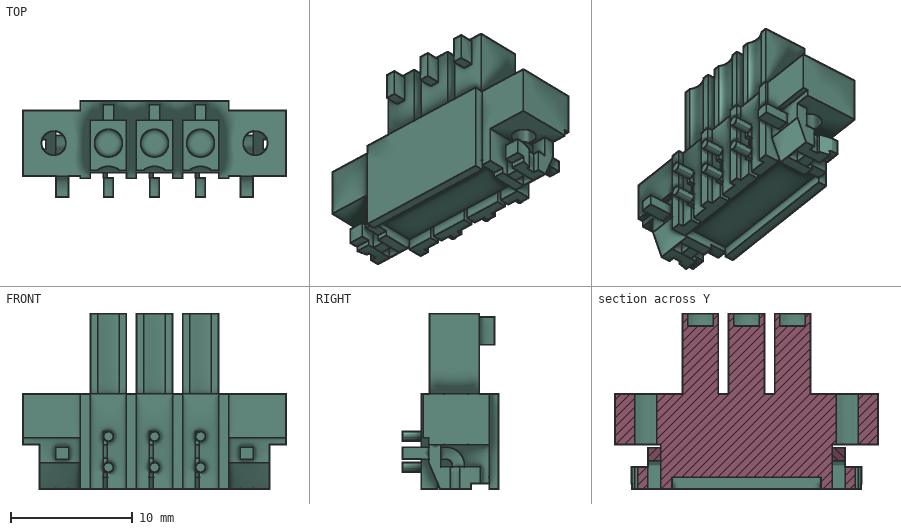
import cadquery as cq
import math


WAYS = 3
PITCH = 3.8
WAY_CENTRES = [(way - (WAYS - 1) / 2) * PITCH for way in range(WAYS)]
SIDES = (-1, 1)

CORE_HALF_WIDTH = 6.15
CORE_BACK = 3.5
CORE_FRONT = -2.91
CORE_TOP = 7.87

RECESS_FLOOR = -2.45
RECESS_WIDTH = 2.98

TUNNEL_FRONT = -1.55
TUNNEL_HEIGHT = 0.98

TOWER_WIDTH = 2.98
TOWER_BACK = 1.91
TOWER_FRONT = -2.22
TOWER_TOP = 14.5
SOCKET_DIAMETER = 2.3
SOCKET_DEPTH = 1.0
GROOVE_CHORD = 1.78
GROOVE_DEPTH = 0.3
GROOVE_RADIUS = ((GROOVE_CHORD / 2) ** 2 + GROOVE_DEPTH**2) / (2 * GROOVE_DEPTH)
KEY_WIDTH = 0.85
KEY_BACK = 3.17
KEY_BOTTOM = 11.93
KEY_TOP = 14.23

WING_END = 10.86
WING_BACK = 2.72
WING_FRONT = -2.72
WING_BOTTOM = 3.67
LIP_HEIGHT = 0.59
MOUNT_HOLE_X = 8.32
MOUNT_HOLE_DIAMETER = 2.0

FOOT_END = 9.52
FOOT_FRONT = -2.25
FOOT_SLOPE_TOP = 2.17
FOOT_SLOPE_END = -1.35
FOOT_WALL_BACK = -1.28
FOOT_STEP_Y = 1.22
FOOT_STEP_HEIGHT = 0.45
OUTER_LEG_TOP = 1.85
OUTER_LEG_BACK = 2.0
NOTCH_FRONT = -0.5
NOTCH_BACK = 0.28
NOTCH_FLOOR_X = 9.0
RAMP_INNER_X = 9.24
RAMP_BACK = 1.41

STRIP_INNER_X = 7.08
STRIP_WIDTH = 1.06
STRIP_OUTER_X = STRIP_INNER_X + STRIP_WIDTH
STRIP_THICKNESS = 1.0
STRIP_TOP = 3.48
BEND_OUTER_RADIUS = 1.52
BEND_INNER_RADIUS = BEND_OUTER_RADIUS - STRIP_THICKNESS
BEND_Y = -0.85
BEND_Z = STRIP_TOP - BEND_OUTER_RADIUS

PIN_TIP = -4.45
PIN_DIAMETER = 0.8
PIN_LOW_Z = 1.8
PIN_SPACING = 2.56
PIN_START = -2.87
PLATE_THICKNESS = 0.35
PLATE_LEFT = -0.43
PLATE_SETBACK = 0.13
PRONG_HEIGHT = 1.13
PLATE_BOTTOM = 1.41
PLATE_TOP = PLATE_BOTTOM + 3 * PRONG_HEIGHT


def block(x0, x1, y0, y1, z0, z1):
    """Box between two opposite corners, the X limits given in either order."""
    corner = (min(x0, x1), y0, z0)
    return cq.Workplane("XY", origin=corner).box(abs(x1 - x0), y1 - y0, z1 - z0, centered=False)


def cylinder(x, y, z0, z1, radius):
    """Vertical cylinder between two heights."""
    return cq.Workplane("XY", origin=(x, y, z0)).circle(radius).extrude(z1 - z0)


def make_core():
    """Centre block with a front recess per way and a tunnel through its underside."""
    core = block(-CORE_HALF_WIDTH, CORE_HALF_WIDTH, CORE_FRONT, CORE_BACK, 0, CORE_TOP)
    for x in WAY_CENTRES:
        half = RECESS_WIDTH / 2
        core = core.cut(block(x - half, x + half, CORE_FRONT, RECESS_FLOOR, 0, CORE_TOP))
    return core.cut(block(-CORE_HALF_WIDTH, CORE_HALF_WIDTH, TUNNEL_FRONT, WING_BACK, 0, TUNNEL_HEIGHT))


def make_tower(x):
    """Tower with a round socket on top, a shallow groove in front and a key behind."""
    half = TOWER_WIDTH / 2
    tower = block(x - half, x + half, TOWER_FRONT, TOWER_BACK, CORE_TOP, TOWER_TOP)
    groove_y = TOWER_FRONT + GROOVE_DEPTH - GROOVE_RADIUS
    tower = tower.cut(cylinder(x, groove_y, CORE_TOP, TOWER_TOP, GROOVE_RADIUS))
    tower = tower.cut(cylinder(x, 0, TOWER_TOP - SOCKET_DEPTH, TOWER_TOP, SOCKET_DIAMETER / 2))
    key = block(x - KEY_WIDTH / 2, x + KEY_WIDTH / 2, TOWER_BACK, KEY_BACK, KEY_BOTTOM, KEY_TOP)
    return tower.union(key)


def make_wing(side):
    """Wing with a vertical mounting hole and a setback along its lower front edge."""
    inner = side * CORE_HALF_WIDTH
    outer = side * WING_END
    wing = block(inner, outer, WING_FRONT, WING_BACK, WING_BOTTOM, CORE_TOP)
    wing = wing.cut(block(inner, outer, WING_FRONT, FOOT_FRONT, WING_BOTTOM, WING_BOTTOM + LIP_HEIGHT))
    return wing.cut(cylinder(side * MOUNT_HOLE_X, 0, WING_BOTTOM, CORE_TOP, MOUNT_HOLE_DIAMETER / 2))


def make_foot(side):
    """Foot below a wing, opened up around the hold-down strip."""
    profile = [
        (FOOT_SLOPE_END, 0),
        (FOOT_STEP_Y, 0),
        (FOOT_STEP_Y, FOOT_STEP_HEIGHT),
        (WING_BACK, FOOT_STEP_HEIGHT),
        (WING_BACK, WING_BOTTOM),
        (FOOT_FRONT, WING_BOTTOM),
        (FOOT_FRONT, FOOT_SLOPE_TOP),
    ]
    inner = side * CORE_HALF_WIDTH
    outer = side * FOOT_END
    strip_inner = side * STRIP_INNER_X
    strip_outer = side * STRIP_OUTER_X
    foot = cq.Workplane("YZ", origin=(inner, 0, 0)).polyline(profile).close().extrude(outer - inner)

    pocket = block(strip_inner, strip_outer, FOOT_WALL_BACK, WING_BACK, 0, WING_BOTTOM)
    above_outer_leg = block(strip_outer, outer, FOOT_WALL_BACK, WING_BACK, OUTER_LEG_TOP, WING_BOTTOM)
    behind_outer_leg = block(strip_outer, outer, OUTER_LEG_BACK, WING_BACK, 0, WING_BOTTOM)
    foot = foot.cut(pocket).cut(above_outer_leg).cut(behind_outer_leg)

    relief = [
        (outer, NOTCH_FRONT),
        (side * NOTCH_FLOOR_X, NOTCH_FRONT),
        (side * NOTCH_FLOOR_X, NOTCH_BACK),
        (side * RAMP_INNER_X, NOTCH_BACK),
        (outer, RAMP_BACK),
    ]
    return foot.cut(cq.Workplane("XY").polyline(relief).close().extrude(OUTER_LEG_TOP))


def make_contact_slot(x):
    """Slot behind a front recess that holds one contact and is open at the bottom."""
    left = x + PLATE_LEFT
    return block(left, left + PLATE_THICKNESS, RECESS_FLOOR, TUNNEL_FRONT, 0, PLATE_TOP)


def make_contact(x):
    """Plate with two prongs and their round pins."""
    left = x + PLATE_LEFT
    right = left + PLATE_THICKNESS
    contact = block(left, right, RECESS_FLOOR + PLATE_SETBACK, TUNNEL_FRONT, PLATE_BOTTOM, PLATE_TOP)
    for z in (PLATE_BOTTOM, PLATE_TOP - PRONG_HEIGHT):
        contact = contact.union(block(left, right, PIN_START, TUNNEL_FRONT, z, z + PRONG_HEIGHT))
    for z in (PIN_LOW_Z, PIN_LOW_Z + PIN_SPACING):
        pin_base = cq.Workplane("XZ", origin=(x, PIN_START, z))
        contact = contact.union(pin_base.circle(PIN_DIAMETER / 2).extrude(PIN_START - PIN_TIP))
    return contact


def make_hold_down(side):
    """Strip with a tab to the front and a quarter bend into a leg that ends at the underside."""
    diagonal = math.sqrt(0.5)
    strip = (
        cq.Workplane("YZ", origin=(side * STRIP_INNER_X, 0, 0))
        .moveTo(PIN_TIP, STRIP_TOP)
        .lineTo(BEND_Y, STRIP_TOP)
        .threePointArc(
            (BEND_Y + BEND_OUTER_RADIUS * diagonal, BEND_Z + BEND_OUTER_RADIUS * diagonal),
            (BEND_Y + BEND_OUTER_RADIUS, BEND_Z),
        )
        .lineTo(BEND_Y + BEND_OUTER_RADIUS, 0)
        .lineTo(BEND_Y + BEND_INNER_RADIUS, 0)
        .lineTo(BEND_Y + BEND_INNER_RADIUS, BEND_Z)
        .threePointArc(
            (BEND_Y + BEND_INNER_RADIUS * diagonal, BEND_Z + BEND_INNER_RADIUS * diagonal),
            (BEND_Y, BEND_Z + BEND_INNER_RADIUS),
        )
        .lineTo(PIN_TIP, BEND_Z + BEND_INNER_RADIUS)
        .close()
    )
    return strip.extrude(side * STRIP_WIDTH)


contacts = [make_contact(x) for x in WAY_CENTRES]
hold_downs = [make_hold_down(side) for side in SIDES]

housing = make_core()
for way_x in WAY_CENTRES:
    housing = housing.union(make_tower(way_x)).cut(make_contact_slot(way_x))
for wing_side in SIDES:
    housing = housing.union(make_wing(wing_side)).union(make_foot(wing_side))
for hold_down in hold_downs:
    housing = housing.cut(hold_down)

bodies = [housing, *contacts, *hold_downs]
result = cq.Compound.makeCompound([body.solids().val() for body in bodies])